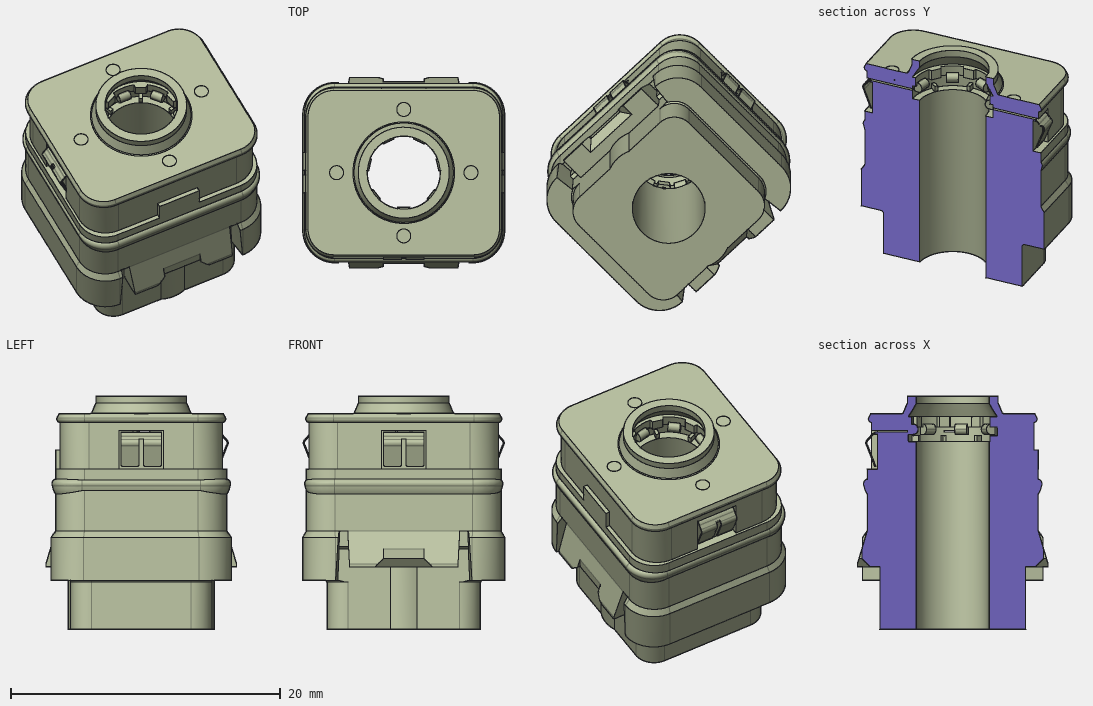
import cadquery as cq
import math

z_plug_flare = 3.5
z_skirt_bottom = 3.63
z_skirt_edge = 6.82
z_body_bottom = 7.28
z_body_top = 11.89
z_lid_top = 16.0
z_collar_cone_top = 16.78
z_collar_top = 17.3

plug_outline = (5.7, 5.25, 1.54)
skirt_outline = (15.0 / 2, 13.39 / 2, 2.42)
body_outline = (14.46 / 2, 12.72 / 2, 2.15)
head_outline = (7.04, 6.04, 2.15)
seal_outline = (7.35, 6.63, 2.21)
lid_outline = (7.28, 6.28, 2.08)

bead_root_inset = 0.7
seal_top = 11.14
seal_top_inset = 0.26
seal_crest_z = 10.85
seal_shoulder_z = 10.62
seal_shoulder_inset = 0.03
seal_flank_z = 10.28
seal_flank_inset = 0.135
seal_bottom = 10.02
seal_bottom_inset = 0.28
lid_top_inset = 0.19
lid_shoulder_z = 15.67
lid_shoulder_inset = 0.02
lid_flank_z = 15.48
lid_flank_inset = 0.03
lid_bottom = 15.33
lid_bottom_inset = 0.25

plug_flare = 0.12
rib_half_width = 0.97
rib_height = 0.19
rib_top = 4.85

latch_tip_y = 7.08
latch_lip_top = 4.85
latch_bottom = 4.64
latch_half_top = 4.15
latch_half_bottom = 4.01
opening_floor_y = plug_outline[1]
opening_ledge_y = 5.54
opening_ledge_z = 5.97
opening_ledge_chamfer = 0.15
opening_front_half = (4.83, 5.07)
opening_floor_half = (4.72, 4.9)
notch_y = 6.75
notch_half_width = 1.5
notch_top = 5.97
notch_flare_top = 5.25
notch_flare_half = 2.13

window_half_width = 1.65
window_top = 14.74
window_depth = 0.45
slit_half_width = 0.62
slit_height = 0.1
clip_half_width = 1.5
clip_slot_half_width = 0.165
clip_slot_top = 14.12
clip_leg_bottom = 12.08
clip_top = 14.64
clip_root_height = 0.17
clip_bend_z = 13.79
clip_reach = 0.42
clip_thickness = 0.09
clip_leg_inset = 0.33
clip_top_inset = 0.26
clip_hook_middle_inset = 0.1
clip_hook_middle_z = 14.46
clip_hook_end_inset = -0.03
clip_hook_end_z = 14.3
clip_bend_start = (0.1, 0.26)
clip_bend_end = (0.06, -0.15)
clip_corner = 0.14

key_half_width = 1.65
key_top = 13.3

collar_radius = 3.37
collar_base_radius = 3.68
collar_foot_radius = 3.77
collar_foot_height = 0.05
bore_radius = 2.7
z_bore_lip = 16.75
dimple_radius = 0.52
dimple_depth = 0.02
dimple_x = 4.98
dimple_y = 4.69

socket_radius = 3.29
z_ring_top = 15.78
z_ring_bottom = 15.0
z_socket_floor = 13.93
ring_radius = 3.03
contact_count = 7
first_contact_angle = -90.0
contact_pitch = 360.0 / contact_count
tooth_tip_width = 0.8
tooth_root_width = 1.38
tooth_radius = 2.75
socket_overlap = 0.09
divider_width = 0.26
divider_height = 0.43
contact_radius = 2.56
contact_width = 0.9
contact_bottom = 14.45
contact_top = 15.22
contact_nose = 0.38


def rounded_sketch(outline):
    half_x, half_y, radius = outline
    return cq.Sketch().rect(2 * half_x, 2 * half_y).vertices().fillet(radius)


def rounded_block(outline, bottom, top):
    base = cq.Workplane("XY", origin=(0, 0, bottom)).placeSketch(rounded_sketch(outline))
    return base.extrude(top - bottom)


def rounded_loft(lower_outline, upper_outline, bottom, top):
    lower = rounded_sketch(lower_outline)
    upper = rounded_sketch(upper_outline).moved(cq.Location(cq.Vector(0, 0, top - bottom)))
    return cq.Workplane("XY", origin=(0, 0, bottom)).placeSketch(lower, upper).loft()


def box(x_range, y_range, z_range):
    size = [b - a for a, b in (x_range, y_range, z_range)]
    return cq.Workplane("XY", origin=(x_range[0], y_range[0], z_range[0])).box(*size, centered=False)


def turned(solid, angle):
    return solid.rotate((0, 0, 0), (0, 0, 1), angle)


def grown(outline, amount):
    half_x, half_y, radius = outline
    return (half_x + amount, half_y + amount, radius + amount)


def bead(outline, profile):
    """Sweep a profile, drawn on the front wall in Y and Z, around a rounded outline."""
    half_x, half_y, radius = outline
    corner_x = half_x - radius
    corner_y = half_y - radius
    diagonal = radius * math.sqrt(0.5)
    path = cq.Workplane("XY").moveTo(0, -half_y)
    for side_x, side_y in ((1, -1), (1, 1), (-1, 1), (-1, -1)):
        on_y_wall = (side_x * corner_x, side_y * half_y)
        on_x_wall = (side_x * half_x, side_y * corner_y)
        middle = (side_x * (corner_x + diagonal), side_y * (corner_y + diagonal))
        start, end = (on_y_wall, on_x_wall) if side_x * side_y < 0 else (on_x_wall, on_y_wall)
        path = path.lineTo(*start).threePointArc(middle, end)
    return profile.sweep(path.close())


def seal_bead():
    crest = -seal_outline[1]
    profile = (
        cq.Workplane("YZ")
        .moveTo(crest + bead_root_inset, seal_top)
        .lineTo(crest + seal_top_inset, seal_top)
        .threePointArc((crest, seal_crest_z), (crest + seal_shoulder_inset, seal_shoulder_z))
        .threePointArc((crest + seal_flank_inset, seal_flank_z), (crest + seal_bottom_inset, seal_bottom))
        .lineTo(crest + bead_root_inset, seal_bottom)
        .close()
    )
    return bead(seal_outline, profile)


def lid_bead():
    crest = -lid_outline[1]
    profile = (
        cq.Workplane("YZ")
        .moveTo(crest + bead_root_inset, z_lid_top)
        .lineTo(crest + lid_top_inset, z_lid_top)
        .lineTo(crest + lid_shoulder_inset, lid_shoulder_z)
        .threePointArc((crest + lid_flank_inset, lid_flank_z), (crest + lid_bottom_inset, lid_bottom))
        .lineTo(crest + bead_root_inset, lid_bottom)
        .close()
    )
    return bead(lid_outline, profile)


def plug():
    """The plug block with its flared top, and separately its rounded front and back ribs."""
    block = rounded_block(plug_outline, 0, z_skirt_bottom)
    flare = rounded_loft(plug_outline, grown(plug_outline, plug_flare), z_plug_flare, z_skirt_bottom)
    half_y = plug_outline[1]
    crest = half_y + rib_height
    ribs = (
        cq.Workplane("XY")
        .moveTo(-rib_half_width, -half_y)
        .threePointArc((0, -crest), (rib_half_width, -half_y))
        .lineTo(rib_half_width, half_y)
        .threePointArc((0, crest), (-rib_half_width, half_y))
        .close()
        .extrude(rib_top)
    )
    return block.union(flare), ribs


def latch_opening():
    """Cut in the front of the skirt, narrowing inwards."""
    front_y = skirt_outline[1]

    def outline(halves):
        top, bottom = halves
        return [
            (-bottom, z_plug_flare), (bottom, z_plug_flare),
            (top, z_body_bottom), (-top, z_body_bottom),
        ]

    opening = (
        cq.Workplane("XZ", origin=(0, -front_y, 0))
        .polyline(outline(opening_front_half)).close()
        .workplane(offset=opening_floor_y - front_y)
        .polyline(outline(opening_floor_half)).close()
        .loft()
    )
    ledge = (
        cq.Workplane("YZ")
        .moveTo(-opening_floor_y, opening_ledge_z)
        .lineTo(-opening_ledge_y, opening_ledge_z + opening_ledge_chamfer)
        .lineTo(-opening_ledge_y, z_body_bottom)
        .lineTo(-opening_floor_y, z_body_bottom)
        .close()
        .extrude(skirt_outline[0], both=True)
    )
    return opening.cut(ledge)


def latch():
    """Wedge on the front of the skirt, with a flared notch in its lower edge."""
    wedge = (
        cq.Workplane("YZ")
        .moveTo(-opening_floor_y, z_body_bottom)
        .lineTo(-body_outline[1], z_body_bottom)
        .lineTo(-latch_tip_y, latch_lip_top)
        .lineTo(-latch_tip_y, latch_bottom)
        .lineTo(-opening_floor_y, latch_bottom)
        .close()
        .extrude(skirt_outline[0], both=True)
    )
    sides = (
        cq.Workplane("XZ")
        .polyline([
            (-latch_half_top, z_body_bottom), (latch_half_top, z_body_bottom),
            (latch_half_bottom, latch_bottom), (-latch_half_bottom, latch_bottom),
        ])
        .close()
        .extrude(latch_tip_y)
    )
    notch_sides = (
        cq.Workplane("XZ")
        .polyline([
            (-notch_half_width, notch_top), (notch_half_width, notch_top),
            (notch_half_width, notch_flare_top), (notch_flare_half, latch_bottom),
            (-notch_flare_half, latch_bottom), (-notch_half_width, notch_flare_top),
        ])
        .close()
        .extrude(latch_tip_y)
    )
    notch_rise = notch_flare_top - latch_bottom
    notch_depth = (
        cq.Workplane("YZ")
        .moveTo(-latch_tip_y, notch_top)
        .lineTo(-notch_y, notch_top)
        .lineTo(-notch_y, notch_flare_top)
        .lineTo(-notch_y + notch_rise, latch_bottom)
        .lineTo(-latch_tip_y, latch_bottom)
        .close()
        .extrude(skirt_outline[0], both=True)
    )
    return wedge.intersect(sides).cut(notch_sides.intersect(notch_depth))


def clip_window(wall):
    """Recess in a wall facing -Y, with a slit along its top edge that opens into the socket."""
    width = (-window_half_width, window_half_width)
    recess = box(width, (-wall - window_depth, -wall + window_depth), (z_body_top, window_top))
    slit_width = (-slit_half_width, slit_half_width)
    slit = box(slit_width, (-wall, -bore_radius), (window_top - slit_height, window_top))
    return recess.union(slit)


def clip_outline():
    """Front shape of a clip: a bridge with two legs whose lower corners are rounded."""
    depth = (-2 * head_outline[0], 0)
    leg_heights = (clip_leg_bottom, clip_slot_top)
    leg = box((clip_slot_half_width, clip_half_width), depth, leg_heights).edges("|Y and <Z")
    leg = leg.fillet(clip_corner)
    bridge = box((-clip_half_width, clip_half_width), depth, (clip_slot_top, window_top))
    return bridge.union(leg).union(leg.mirror("YZ"))


def clip(wall):
    """Bent sheet standing out of a wall facing -Y."""
    bend_y = -wall - clip_reach + clip_thickness / 2
    bend_end = (bend_y + clip_bend_end[0], clip_bend_z + clip_bend_end[1])
    hook_middle = (-wall + clip_hook_middle_inset, clip_hook_middle_z)
    hook_end = (-wall + clip_hook_end_inset, clip_hook_end_z)
    leg_end_z = clip_leg_bottom - clip_thickness
    sheet = (
        cq.Workplane("YZ")
        .moveTo(-wall + clip_top_inset, clip_top - clip_thickness)
        .threePointArc(hook_middle, hook_end)
        .lineTo(bend_y + clip_bend_start[0], clip_bend_z + clip_bend_start[1])
        .threePointArc((bend_y, clip_bend_z), bend_end)
        .lineTo(-wall + clip_leg_inset, leg_end_z)
        .offset2D(clip_thickness / 2)
        .extrude(clip_half_width, both=True)
    )
    root_depth = (-wall + clip_top_inset, -wall + window_depth)
    root = box((-clip_half_width, clip_half_width), root_depth, (clip_top - clip_root_height, clip_top))
    return sheet.intersect(clip_outline()).union(root)


def collar():
    profile = (
        cq.Workplane("XZ")
        .moveTo(0, z_lid_top)
        .lineTo(collar_foot_radius, z_lid_top)
        .lineTo(collar_base_radius, z_lid_top + collar_foot_height)
        .lineTo(collar_radius, z_collar_cone_top)
        .lineTo(collar_radius, z_collar_top)
        .lineTo(0, z_collar_top)
        .close()
    )
    return profile.revolve(360, (0, 0, 0), (0, 1, 0))


def bore():
    profile = (
        cq.Workplane("XZ")
        .lineTo(bore_radius, 0)
        .lineTo(bore_radius, z_socket_floor)
        .lineTo(socket_radius, z_socket_floor)
        .lineTo(socket_radius, z_ring_bottom)
        .lineTo(ring_radius, z_ring_bottom)
        .lineTo(ring_radius, z_ring_top)
        .lineTo(socket_radius, z_ring_top)
        .lineTo(bore_radius, z_bore_lip)
        .lineTo(bore_radius, z_collar_top)
        .lineTo(0, z_collar_top)
        .close()
    )
    return profile.revolve(360, (0, 0, 0), (0, 1, 0))


def contact():
    """Rounded spring contact pointing inwards along X."""
    outer = socket_radius + socket_overlap
    width = (-contact_width / 2, contact_width / 2)
    block = box((contact_radius, outer), width, (contact_bottom, contact_top))
    return block.edges("<X and |Y").fillet(contact_nose)


def tooth():
    """Key on the ring and the low divider on the floor under it, pointing inwards along X."""
    outer = socket_radius + socket_overlap
    tip = tooth_tip_width / 2
    root = tooth_root_width / 2
    key = (
        cq.Workplane("XY", origin=(0, 0, z_ring_bottom))
        .polyline([(tooth_radius, -tip), (outer, -root), (outer, root), (tooth_radius, tip)])
        .close()
        .extrude(z_ring_top - z_ring_bottom)
    )
    divider_top = z_socket_floor + divider_height
    width = (-divider_width / 2, divider_width / 2)
    divider = box((tooth_radius, outer), width, (z_socket_floor, divider_top))
    return key.union(divider)


plug_block, plug_ribs = plug()
result = plug_block
result = result.union(rounded_block(skirt_outline, z_skirt_bottom, z_skirt_edge))
result = result.union(rounded_loft(skirt_outline, body_outline, z_skirt_edge, z_body_bottom))
result = result.union(rounded_block(body_outline, z_body_bottom, z_body_top))
result = result.union(rounded_block(head_outline, z_body_top, z_lid_top))
result = result.union(seal_bead()).union(lid_bead())

for turn in (0, 180):
    result = result.cut(turned(latch_opening(), turn)).union(turned(latch(), turn))
result = result.union(plug_ribs)

result = result.union(box((-key_half_width, key_half_width), (0, body_outline[1]), (z_body_top, key_top)))

result = result.union(collar()).cut(bore())

for turn, wall in ((0, head_outline[1]), (90, head_outline[0]), (-90, head_outline[0])):
    result = result.cut(turned(clip_window(wall), turn)).union(turned(clip(wall), turn))

for index in range(contact_count):
    angle = first_contact_angle + index * contact_pitch
    result = result.union(turned(contact(), angle))
    result = result.union(turned(tooth(), angle + contact_pitch / 2))

dimple_places = [(dimple_x, 0), (-dimple_x, 0), (0, dimple_y), (0, -dimple_y)]
dimples = cq.Workplane("XY", origin=(0, 0, z_lid_top - dimple_depth)).pushPoints(dimple_places)
result = result.cut(dimples.circle(dimple_radius).extrude(dimple_depth))